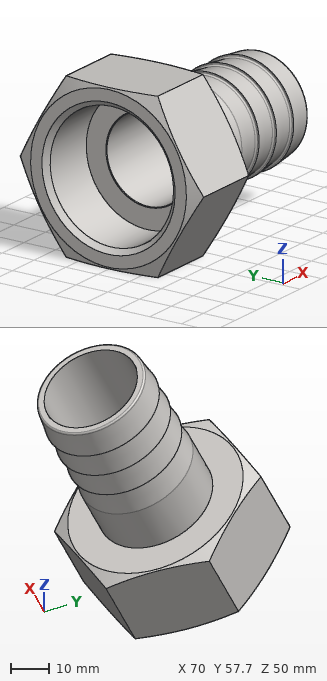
import cadquery as cq
import math

TOTAL_LENGTH = 70.0
NUT_LENGTH = 24.0

ACROSS_FLATS = 50.0
ACROSS_CORNERS = ACROSS_FLATS / math.cos(math.radians(30))
FACE_RADIUS = 24.5
CORNER_BEVEL_DEPTH = 1.6
THREAD_RADIUS = 19.4
MOUTH_RADIUS = 20.9
LEAD_IN_DEPTH = 1.55

SEAT_DEPTH = 18.2
COLLAR_THICKNESS = 3.0
COLLAR_END = SEAT_DEPTH + COLLAR_THICKNESS
TAIL_RADIUS = 16.0
BORE_RADIUS = 13.0
BORE_EDGE_CHAMFER = 0.2
BARB_COUNT = 4
BARB_PITCH = 8.0
BARB_TIP_RADIUS = 15.1
BARB_ROOT_FILLET = 0.5
END_FILLET = 0.5
BARBS_START = TOTAL_LENGTH - BARB_COUNT * BARB_PITCH


def revolve_about_x(profile):
    """Turn a closed (x, radius) profile about the X axis."""
    return profile.close().revolve(360, (0, 0, 0), (1, 0, 0))


def beveled_hexagon():
    """Hexagonal bar with two corners on the Y axis and both ends beveled by a cone."""
    hexagon = cq.Workplane("YZ").polygon(6, ACROSS_CORNERS).extrude(NUT_LENGTH)
    corner_radius = ACROSS_CORNERS / 2
    envelope = revolve_about_x(
        cq.Workplane("XZ")
        .lineTo(0, FACE_RADIUS)
        .lineTo(CORNER_BEVEL_DEPTH, corner_radius)
        .lineTo(NUT_LENGTH - CORNER_BEVEL_DEPTH, corner_radius)
        .lineTo(NUT_LENGTH, FACE_RADIUS)
        .lineTo(NUT_LENGTH, 0)
    )
    return hexagon.intersect(envelope)


def union_nut():
    """Hexagon nut: chamfered thread bore, with a back wall that holds the collar."""
    cavity = revolve_about_x(
        cq.Workplane("XZ")
        .lineTo(0, MOUTH_RADIUS)
        .lineTo(LEAD_IN_DEPTH, THREAD_RADIUS)
        .lineTo(COLLAR_END, THREAD_RADIUS)
        .lineTo(COLLAR_END, TAIL_RADIUS)
        .lineTo(NUT_LENGTH, TAIL_RADIUS)
        .lineTo(NUT_LENGTH, 0)
    )
    return beveled_hexagon().cut(cavity)


def hose_tail():
    """Collared tube whose free end carries a row of barbs."""
    profile = (
        cq.Workplane("XZ")
        .moveTo(SEAT_DEPTH, BORE_RADIUS + BORE_EDGE_CHAMFER)
        .lineTo(SEAT_DEPTH, THREAD_RADIUS)
        .lineTo(COLLAR_END, THREAD_RADIUS)
        .lineTo(COLLAR_END, TAIL_RADIUS)
        .lineTo(BARBS_START, TAIL_RADIUS)
    )

    for barb in range(1, BARB_COUNT):
        barb_end = BARBS_START + barb * BARB_PITCH
        profile = (
            profile
            .lineTo(barb_end - BARB_ROOT_FILLET, BARB_TIP_RADIUS)
            .tangentArcPoint((barb_end, BARB_TIP_RADIUS + BARB_ROOT_FILLET), relative=False)
            .lineTo(barb_end, TAIL_RADIUS)
        )

    profile = (
        profile
        .lineTo(TOTAL_LENGTH - END_FILLET, BARB_TIP_RADIUS)
        .tangentArcPoint((TOTAL_LENGTH, BARB_TIP_RADIUS - END_FILLET), relative=False)
        .lineTo(TOTAL_LENGTH, BORE_RADIUS)
        .lineTo(SEAT_DEPTH + BORE_EDGE_CHAMFER, BORE_RADIUS)
    )
    return revolve_about_x(profile)


nut = union_nut()
tail = hose_tail()

result = cq.Compound.makeCompound([nut.val(), tail.val()])